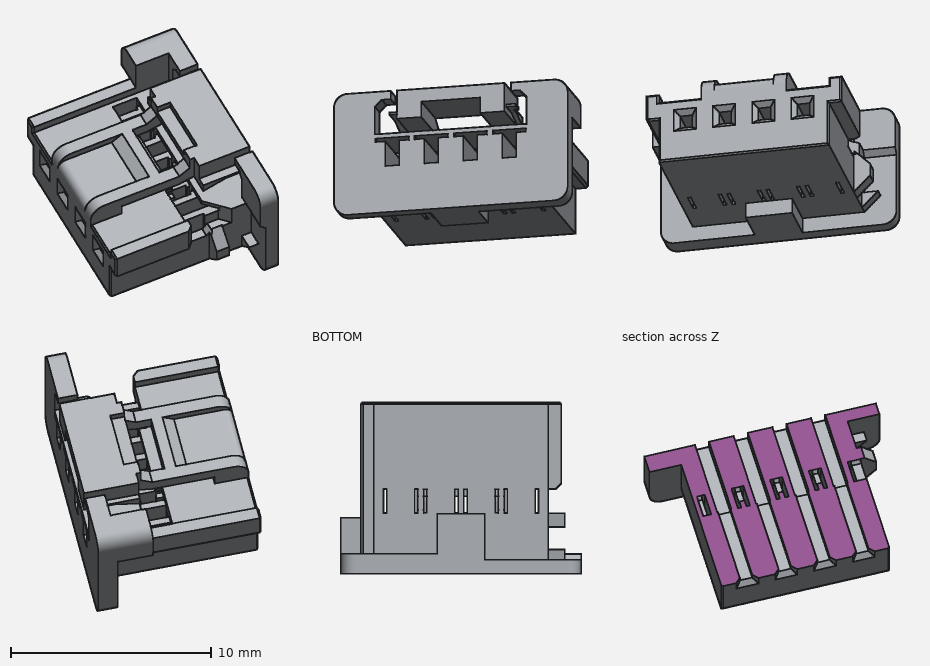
import cadquery as cq

WIDTH = 12.0
DEPTH = 8.55
HEIGHT = 6.3
HALF_WIDTH = WIDTH / 2

WAY_COUNT = 4
PITCH = 2.0
HOLE_WIDTH = 0.62
HOLE_BOTTOM = 2.66
HOLE_TOP = 3.32
HOLE_FLARE = 0.26
DIVIDER = 0.29
CAVITY_WIDTH = PITCH - DIVIDER
TONGUE_WIDTH = 1.4
GROOVE_WIDTH = 0.71
GROOVE_FLOOR = 2.4
TONGUE_TOP = 3.68
CAVITY_ROOF = 3.86

BODY_HALF = 4.35
BODY_BOTTOM = 0.79
BODY_TOP = 4.09
RAIL_HALF = 5.0
RAIL_BOTTOM = 3.13
RAIL_TOP = 4.54
FRONT_BEVEL = 0.08
RAIL_BEVEL = 0.12
RAIL_STOP = 4.33
RAIL_STOP_BEVEL = 0.28

OPENING_FRONT = RAIL_STOP
OPENING_BACK = 5.65
LATCH_OPENING_FRONT = 4.69
OPENING_LEFT = -4.09
SLANT_START = 3.24
RAMP_FRONT = 5.36
SLOT_BACK = 5.52
WALL_LOW = 2.72
RAMP_TOP = WALL_LOW + OPENING_BACK - RAMP_FRONT

FLANGE_FRONT = 7.56
CORNER_RADIUS = 0.7
EAR_FRONT = 5.75
EAR_INNER = BODY_HALF
WINDOW_HALF = 3.89
WINDOW_CHAMFER = 0.35
WINDOW_TOP = 5.87
LIP_GAP_HALF = 3.08
SETBACK = 0.3
FOOT_HALF = 1.19
FOOT_FRONT = 5.55

KEY_OUTER = 5.18
KEY_LOW = 1.62
KEY_HIGH = 2.28
KEY_FRONT = 5.53
KEY_LENGTH = 0.7
KEY_PAD_FRONT = 7.33

LATCH_HALF = 2.18
LATCH_BOTTOM = 4.65
LATCH_TOP = 5.27
LATCH_ROOT = 1.74
NOSE_BASE = 4.49
RISE_START = 4.93
ARM_OPENING_HALF = 1.51
ARM_OPENING_FRONT = 4.15
RECESS_FLOOR = 4.91
RECESS_BACK = 3.58
RECESS_RAMP = 0.59

BUTTON_HALF = 2.76
BUTTON_FRONT = EAR_FRONT
BUTTON_BOTTOM = 4.82
BRIDGE_FRONT = 5.52
BRIDGE_BOTTOM = 5.63
POCKET_FLOOR = 5.95
POCKET_BACK = 6.24
WING_LEFT = -3.01
WING_RIGHT = 3.23
WING_TOP = 5.28
WING_BACK = 8.22
WING_TAPER_END = 7.02
NUB_LEFT = -3.24
NUB_BOTTOM = 5.16


def block(x0, x1, y0, y1, z0, z1):
    """Axis-aligned box between opposite corners."""
    return cq.Workplane("XY").box(x1 - x0, y1 - y0, z1 - z0, centered=False).translate((x0, y0, z0))


def front_profile(points, y0, y1):
    """Extrude an outline of (x, z) points from y0 back to y1."""
    return cq.Workplane("XZ", origin=(0, y0, 0)).polyline(points).close().extrude(y0 - y1)


def way_centers():
    return [(i - (WAY_COUNT - 1) / 2) * PITCH for i in range(WAY_COUNT)]


def make_body():
    """T-shaped body with bevelled mating face; the right rail stops short of the flange."""
    outline = [
        (BODY_HALF, BODY_BOTTOM),
        (BODY_HALF, RAIL_BOTTOM),
        (RAIL_HALF, RAIL_BOTTOM),
        (RAIL_HALF, RAIL_TOP),
        (BODY_HALF, RAIL_TOP),
        (BODY_HALF, BODY_TOP),
        (-BODY_HALF, BODY_TOP),
        (-BODY_HALF, RAIL_TOP),
        (-RAIL_HALF, RAIL_TOP),
        (-RAIL_HALF, RAIL_BOTTOM + RAIL_BEVEL),
        (-RAIL_HALF + RAIL_BEVEL, RAIL_BOTTOM),
        (-BODY_HALF, RAIL_BOTTOM),
        (-BODY_HALF, BODY_BOTTOM),
    ]
    body = front_profile(outline, 0, DEPTH).faces("<Y").edges().chamfer(FRONT_BEVEL)
    rail_cut = (
        cq.Workplane("XY", origin=(0, 0, RAIL_BOTTOM))
        .moveTo(BODY_HALF, RAIL_STOP)
        .lineTo(RAIL_HALF - RAIL_STOP_BEVEL, RAIL_STOP)
        .lineTo(RAIL_HALF, RAIL_STOP - RAIL_STOP_BEVEL)
        .lineTo(RAIL_HALF, DEPTH)
        .lineTo(BODY_HALF, DEPTH)
        .close()
        .extrude(RAIL_TOP - RAIL_BOTTOM)
    )
    return body.cut(rail_cut)


def make_flange():
    """Rounded back plate with a deeper left ear, a latch window and a front foot."""
    plate = block(-HALF_WIDTH, HALF_WIDTH, FLANGE_FRONT, DEPTH, 0, HEIGHT)
    ear = block(-HALF_WIDTH, -EAR_INNER, EAR_FRONT, DEPTH, RAIL_TOP, HEIGHT)
    flange = plate.edges("|Y").fillet(CORNER_RADIUS)
    flange = flange.union(ear.edges("|Y and <X and >Z").fillet(CORNER_RADIUS))

    shoulder_x = WINDOW_HALF - WINDOW_CHAMFER
    shoulder_z = WINDOW_TOP - WINDOW_CHAMFER
    half = [
        (WINDOW_HALF, BODY_TOP),
        (WINDOW_HALF, shoulder_z),
        (shoulder_x, WINDOW_TOP),
        (LIP_GAP_HALF, WINDOW_TOP),
        (LIP_GAP_HALF, HEIGHT),
    ]
    outline = half + [(-x, z) for x, z in reversed(half)]
    flange = flange.cut(front_profile(outline, EAR_FRONT, DEPTH))

    thinning = (
        cq.Workplane("YZ", origin=(FOOT_HALF, 0, 0))
        .moveTo(FLANGE_FRONT, 0)
        .lineTo(FLANGE_FRONT, BODY_TOP)
        .lineTo(FLANGE_FRONT + SETBACK, BODY_TOP - SETBACK)
        .lineTo(FLANGE_FRONT + SETBACK, 0)
        .close()
        .extrude(HALF_WIDTH - FOOT_HALF)
    )
    foot = block(-FOOT_HALF, FOOT_HALF, FOOT_FRONT, DEPTH, 0, BODY_BOTTOM)
    return flange.cut(thinning).union(foot)


def make_key():
    """Pointed key beside the right wall, with a wedge-shaped pad against the flange."""
    reach = KEY_OUTER - BODY_HALF
    outline = [
        (BODY_HALF, KEY_LOW - reach),
        (KEY_OUTER, KEY_LOW),
        (KEY_OUTER, KEY_HIGH),
        (BODY_HALF, KEY_HIGH + reach),
    ]
    key = front_profile(outline, KEY_FRONT, KEY_FRONT + KEY_LENGTH)
    pad_outline = [
        (BODY_HALF, KEY_LOW - reach),
        (KEY_OUTER, KEY_LOW),
        (BODY_HALF, KEY_LOW),
    ]
    return key.union(front_profile(pad_outline, KEY_PAD_FRONT, DEPTH))


def make_way(x):
    """Void of one terminal way: flared pin hole, cavity over the tongue, groove and side slots."""
    hole_height = HOLE_TOP - HOLE_BOTTOM
    middle = (HOLE_TOP + HOLE_BOTTOM) / 2
    void = block(x - HOLE_WIDTH / 2, x + HOLE_WIDTH / 2, 0, DEPTH, HOLE_BOTTOM, HOLE_TOP)
    flare = (
        cq.Workplane("XZ", origin=(x, 0, middle))
        .rect(HOLE_WIDTH + 2 * HOLE_FLARE, hole_height + 2 * HOLE_FLARE)
        .workplane(offset=-HOLE_FLARE)
        .rect(HOLE_WIDTH, hole_height)
        .loft(combine=True)
    )
    groove = block(
        x - GROOVE_WIDTH / 2, x + GROOVE_WIDTH / 2, OPENING_FRONT, DEPTH, GROOVE_FLOOR, TONGUE_TOP
    )
    cavity_half = CAVITY_WIDTH / 2
    tongue_half = TONGUE_WIDTH / 2
    clearance = block(
        x - cavity_half, x + cavity_half, OPENING_FRONT, DEPTH, TONGUE_TOP, CAVITY_ROOF
    )
    left_slot = block(x - cavity_half, x - tongue_half, OPENING_FRONT, SLOT_BACK, 0, TONGUE_TOP)
    right_slot = block(x + tongue_half, x + cavity_half, OPENING_FRONT, SLOT_BACK, 0, TONGUE_TOP)
    cavity = clearance.union(groove).union(left_slot).union(right_slot)
    return void.union(flare).union(cavity)


def lowered_wall(x0, x1, y0):
    """Void that lowers a wall from x0 to x1, starting at y0, with a 45 degree ramp up towards the back."""
    return (
        cq.Workplane("YZ", origin=(x0, 0, 0))
        .moveTo(y0, TONGUE_TOP)
        .lineTo(y0, WALL_LOW)
        .lineTo(RAMP_FRONT, WALL_LOW)
        .lineTo(OPENING_BACK, RAMP_TOP)
        .lineTo(OPENING_BACK, TONGUE_TOP)
        .close()
        .extrude(x1 - x0)
    )


def make_roof_opening():
    """Opening over the tongues, shorter beneath the latch, with its lowered walls."""
    jog = PITCH - DIVIDER / 2
    slant_back = OPENING_BACK + BODY_HALF - SLANT_START
    opening = (
        cq.Workplane("XY", origin=(0, 0, TONGUE_TOP))
        .moveTo(OPENING_LEFT, OPENING_FRONT)
        .lineTo(-jog, OPENING_FRONT)
        .lineTo(-jog, LATCH_OPENING_FRONT)
        .lineTo(jog, LATCH_OPENING_FRONT)
        .lineTo(jog, OPENING_FRONT)
        .lineTo(BODY_HALF, OPENING_FRONT)
        .lineTo(BODY_HALF, slant_back)
        .lineTo(SLANT_START, OPENING_BACK)
        .lineTo(OPENING_LEFT, OPENING_BACK)
        .close()
        .extrude(BODY_TOP - TONGUE_TOP)
    )
    row_half = ((WAY_COUNT - 1) * PITCH + CAVITY_WIDTH) / 2
    left_wall = lowered_wall(OPENING_LEFT, -row_half, OPENING_FRONT)
    right_wall = lowered_wall(row_half, KEY_OUTER, OPENING_FRONT)
    right_corner = (
        cq.Workplane("XY", origin=(0, 0, RAMP_TOP))
        .moveTo(row_half, OPENING_BACK)
        .lineTo(BODY_HALF, OPENING_BACK)
        .lineTo(BODY_HALF, slant_back)
        .lineTo(row_half, OPENING_BACK + row_half - SLANT_START)
        .close()
        .extrude(TONGUE_TOP - RAMP_TOP)
    )
    opening = opening.union(left_wall).union(right_wall).union(right_corner)
    for i in range(1, WAY_COUNT):
        x = (i - WAY_COUNT / 2) * PITCH
        y0 = LATCH_OPENING_FRONT
        opening = opening.union(lowered_wall(x - DIVIDER / 2, x + DIVIDER / 2, y0))
    return opening


def quarter_arc_point(radius):
    """Offset from the arc's centre to the middle of a quarter arc."""
    return radius * 0.5**0.5


def make_latch():
    """Cantilever latch: rounded nose, twin arms rising to a release button with side wings."""
    nose = LATCH_TOP - NOSE_BASE
    mid = quarter_arc_point(nose)
    arm = (
        cq.Workplane("YZ", origin=(-LATCH_HALF, 0, 0))
        .moveTo(0, BODY_TOP - FRONT_BEVEL)
        .lineTo(0, NOSE_BASE)
        .threePointArc((nose - mid, NOSE_BASE + mid), (nose, LATCH_TOP))
        .lineTo(RISE_START, LATCH_TOP)
        .lineTo(BRIDGE_FRONT, BRIDGE_BOTTOM)
        .lineTo(BRIDGE_FRONT, HEIGHT)
        .lineTo(BUTTON_FRONT, HEIGHT)
        .lineTo(BUTTON_FRONT, BUTTON_BOTTOM)
        .lineTo(RISE_START, LATCH_BOTTOM)
        .lineTo(LATCH_ROOT, LATCH_BOTTOM)
        .lineTo(LATCH_ROOT, BODY_TOP - FRONT_BEVEL)
        .close()
        .extrude(2 * LATCH_HALF)
    )
    button = block(-BUTTON_HALF, BUTTON_HALF, BUTTON_FRONT, DEPTH, BUTTON_BOTTOM, HEIGHT)
    wings = (
        cq.Workplane("YZ", origin=(WING_LEFT, 0, 0))
        .moveTo(BUTTON_FRONT, BUTTON_BOTTOM)
        .lineTo(BUTTON_FRONT, WING_TOP)
        .lineTo(WING_BACK, WING_TOP)
        .lineTo(WING_BACK, NUB_BOTTOM)
        .lineTo(WING_TAPER_END, NUB_BOTTOM)
        .close()
        .extrude(WING_RIGHT - WING_LEFT)
    )
    nub = block(NUB_LEFT, WING_LEFT, FLANGE_FRONT, WING_BACK, NUB_BOTTOM, WING_TOP)
    latch = arm.union(button).union(wings).union(nub)

    half = ARM_OPENING_HALF
    channel = block(-half, half, ARM_OPENING_FRONT, DEPTH, LATCH_BOTTOM, BRIDGE_BOTTOM)
    pocket = block(-half, half, BRIDGE_FRONT, POCKET_BACK, POCKET_FLOOR, HEIGHT)
    recess_nose = RECESS_FLOOR - NOSE_BASE
    recess_mid = quarter_arc_point(recess_nose)
    recess = (
        cq.Workplane("YZ", origin=(-half, 0, 0))
        .moveTo(0, NOSE_BASE)
        .threePointArc(
            (recess_nose - recess_mid, NOSE_BASE + recess_mid), (recess_nose, RECESS_FLOOR)
        )
        .lineTo(RECESS_BACK - RECESS_RAMP, RECESS_FLOOR)
        .lineTo(RECESS_BACK, LATCH_TOP)
        .lineTo(0, LATCH_TOP)
        .close()
        .extrude(2 * half)
    )
    return latch.cut(channel).cut(pocket).cut(recess)


housing = make_body().union(make_flange()).union(make_key())
for center in way_centers():
    housing = housing.cut(make_way(center))
housing = housing.cut(make_roof_opening())
result = housing.union(make_latch())